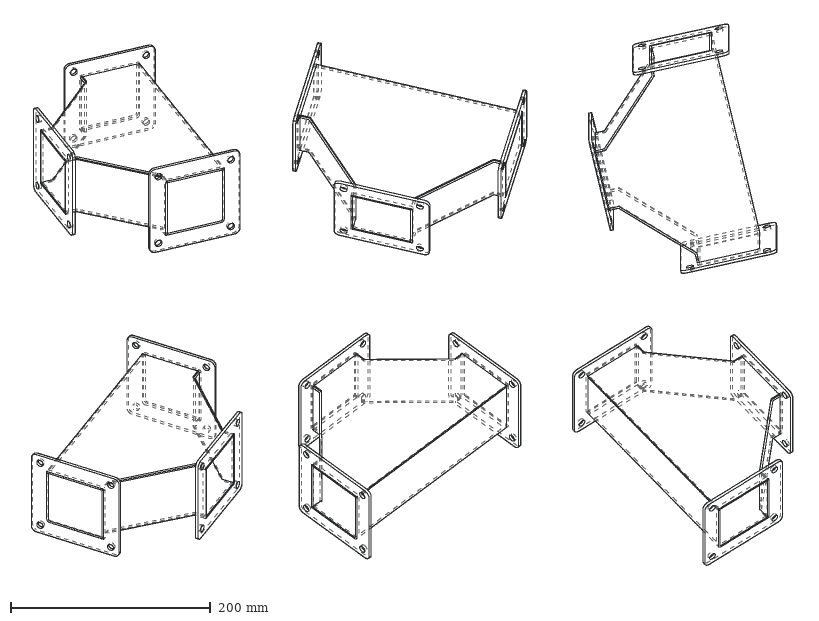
import cadquery as cq
import math


reach = 108.0
duct_width = 64.0
sheet = 2.0
bend_inner_radius = 1.5
gusset_start = 12.0
bend_angle = 45.0

flange_width = 98.5
flange_thickness = 3.0
flange_corner_radius = 6.0
bolt_spacing = 79.0
bolt_diameter = 7.1

half_duct = duct_width / 2
half_inside = half_duct - sheet
bend_outer_radius = bend_inner_radius + sheet
open_corner_radius = sheet
outer_turn = reach - gusset_start
inner_turn = outer_turn - sheet * math.tan(math.radians(bend_angle / 2))


def make_plan_sheet():
    """Flat tee-shaped sheet ending at the inner faces of the side walls, with its lower face at Z = 0."""
    right_edge = [
        (reach, half_duct),
        (reach, -half_inside),
        (inner_turn, -half_inside),
        (half_inside, -inner_turn),
        (half_inside, -reach),
    ]
    left_edge = [(-x, y) for x, y in reversed(right_edge)]
    return cq.Workplane("XY").polyline(right_edge + left_edge).close().extrude(sheet)


def make_top_plate():
    """Flat lid that covers the upper edge of the back wall."""
    return make_plan_sheet().translate((0, 0, half_inside))


def make_floor_and_back():
    """Floor and back wall, one sheet folded along the lower back edge."""
    floor = make_plan_sheet().translate((0, 0, -half_duct))
    back_height = half_duct + half_inside
    back_wall = (
        cq.Workplane("XY")
        .box(2 * reach, sheet, back_height, centered=(True, False, False))
        .translate((0, half_inside, -half_duct))
    )
    folded = floor.union(back_wall)
    inner_fold = cq.selectors.NearestToPointSelector((0, half_inside, -half_inside))
    outer_fold = cq.selectors.NearestToPointSelector((0, half_duct, -half_duct))
    folded = folded.edges(inner_fold).fillet(bend_inner_radius)
    return folded.edges(outer_fold).fillet(bend_outer_radius)


def make_left_wall():
    """Side wall with two 45 degree bends, leading from the left arm to the neck."""
    outer_turns = [(-outer_turn, -half_duct), (-half_duct, -outer_turn)]
    inner_turns = [(-half_inside, -inner_turn), (-inner_turn, -half_inside)]
    outline = (
        [(-reach, -half_duct)]
        + outer_turns
        + [(-half_duct, -reach), (-half_inside, -reach)]
        + inner_turns
        + [(-reach, -half_inside)]
    )
    wall_height = half_duct + half_inside
    wall = (
        cq.Workplane("XY", origin=(0, 0, -half_duct))
        .polyline(outline)
        .close()
        .extrude(wall_height)
    )
    mid_height = wall_height / 2 - half_duct
    for turns, radius in ((outer_turns, bend_inner_radius), (inner_turns, bend_outer_radius)):
        for x, y in turns:
            bend_edge = cq.selectors.NearestToPointSelector((x, y, mid_height))
            wall = wall.edges(bend_edge).fillet(radius)
    return wall


def make_flange(rounded_corners):
    """Flange in the XY plane, outer face up at Z = 0, with a fitted duct opening.

    The opening is rounded only at the listed corners, given as (x sign, y sign, radius).
    """
    plate = (
        cq.Workplane("XY")
        .rect(flange_width, flange_width)
        .extrude(-flange_thickness)
        .edges("|Z")
        .fillet(flange_corner_radius)
    )
    bolt_holes = (
        cq.Workplane("XY")
        .rect(bolt_spacing, bolt_spacing, forConstruction=True)
        .vertices()
        .circle(bolt_diameter / 2)
        .extrude(-flange_thickness)
    )
    opening = cq.Workplane("XY").rect(duct_width, duct_width).extrude(-flange_thickness)
    for x_sign, y_sign, radius in rounded_corners:
        corner = (x_sign * half_duct, y_sign * half_duct, -flange_thickness / 2)
        opening = opening.edges(cq.selectors.NearestToPointSelector(corner)).fillet(radius)
    return plate.cut(bolt_holes).cut(opening)


def stand_upright(flange):
    """Turn a flat flange so that its outer face points to -Y, at the mouth of the neck."""
    return flange.rotate((0, 0, 0), (1, 0, 0), 90).translate((0, -reach, 0))


top_plate = make_top_plate()
floor_and_back = make_floor_and_back()
left_wall = make_left_wall()
right_wall = left_wall.mirror("YZ")

neck_flange = stand_upright(make_flange([(-1, 1, open_corner_radius), (1, 1, open_corner_radius)]))
arm_flange = make_flange([(1, 1, open_corner_radius), (-1, -1, bend_outer_radius)])
left_flange = stand_upright(arm_flange).rotate((0, 0, 0), (0, 0, 1), -90)
right_flange = left_flange.mirror("YZ")

bodies = [
    top_plate,
    floor_and_back,
    left_wall,
    right_wall,
    neck_flange,
    left_flange,
    right_flange,
]
result = cq.Compound.makeCompound([body.val() for body in bodies])